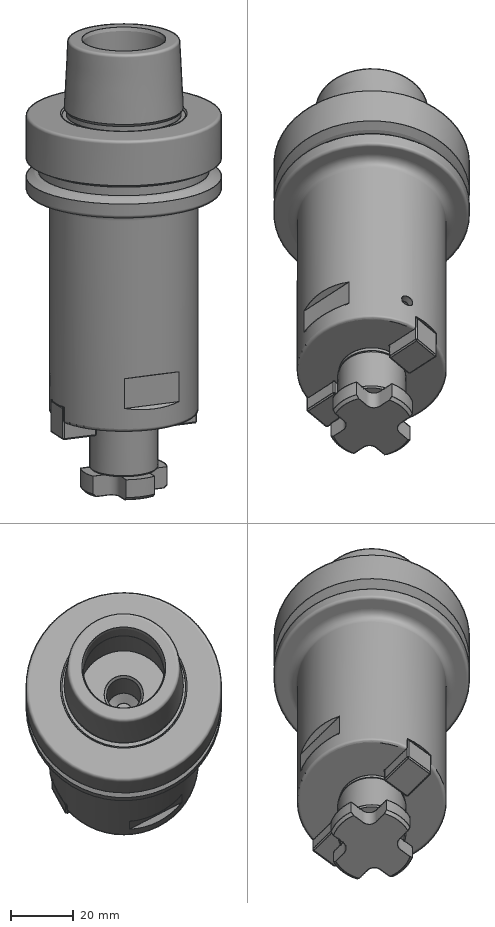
import cadquery as cq
import math


shank_height = 25.0
shank_top_radius = 18.1
shank_base_radius = 19.2
shank_top_fillet = 1.0
shank_taper_start = 2.0
relief_radius = 18.5
relief_outer_radius = 20.4
relief_depth = 0.5
relief_slope_height = 0.9

bore_radius = 13.1
bore_chamfer_width = 0.4
bore_chamfer_height = 1.3
bore_mouth_depth = 10.0
bore_recess_radius = 14.5
bore_floor_z = -10.0
centre_hole_radius = 5.5
centre_hole_chamfer = 0.8
centre_hole_depth = 20.0
centre_floor_radius = 2.6
drill_point_angle = 118.0

flange_radius = 31.5
flange_thickness = 26.0
flange_fillet = 1.0
groove_radius = 27.5
groove_top_z = -14.9
groove_bottom_z = -21.1
groove_slope_height = 1.35
groove_shelf_radius = 28.7
groove_shelf_height = 0.3

body_radius = 24.0
body_end_z = -100.0
body_fillet = 3.0
body_end_fillet = 1.0

pilot_radius = 11.0
pilot_end_z = -119.0
pilot_chamfer = 0.5
undercut_radius = 10.6
undercut_height = 1.3
undercut_slope = 1.0
head_radius = 14.0
head_end_z = -126.0
head_chamfer = 1.0
head_arm_width = 10.0
head_corner_radius = 3.0

flat_distance = 22.0
flat_width = 20.0
flat_centre_z = -87.05
flat_floor_height = 10.0
flat_end_angle = 20.0
flat_cutter_clearance = 1.0

side_hole_radius = 2.0
side_hole_z = -89.0
side_hole_angle = -20.0
side_hole_floor_distance = 21.6
side_dome_radius = 1.3

key_width = 10.0
key_inner_y = 11.7
key_outer_y = 23.7
key_top_z = -94.6
key_end_z = -105.6
key_chamfer = 0.45

opposite_sides = (0, 180)


def turn_about_z(shape, angle):
    return shape.rotate((0, 0, 0), (0, 0, 1), angle)


def turned_blank():
    """Outer shape of the holder, from shank to pilot end."""
    flange_bottom_z = -flange_thickness
    corner_share = 1 - math.sqrt(0.5)
    shank_offset = shank_top_fillet * corner_share
    body_offset = body_fillet * corner_share
    body_end_offset = body_end_fillet * corner_share
    profile = (
        cq.Workplane("XZ")
        .moveTo(0, shank_height)
        .lineTo(shank_top_radius - shank_top_fillet, shank_height)
        .threePointArc(
            (shank_top_radius - shank_offset, shank_height - shank_offset),
            (shank_top_radius, shank_height - shank_top_fillet),
        )
        .lineTo(shank_base_radius, shank_taper_start)
        .lineTo(relief_radius, shank_taper_start - relief_slope_height)
        .lineTo(relief_radius, -relief_depth)
        .lineTo(relief_outer_radius - relief_depth, -relief_depth)
        .lineTo(relief_outer_radius, 0)
        .lineTo(flange_radius, 0)
        .lineTo(flange_radius, flange_bottom_z)
        .lineTo(body_radius + body_fillet, flange_bottom_z)
        .threePointArc(
            (body_radius + body_offset, flange_bottom_z - body_offset),
            (body_radius, flange_bottom_z - body_fillet),
        )
        .lineTo(body_radius, body_end_z + body_end_fillet)
        .threePointArc(
            (body_radius - body_end_offset, body_end_z + body_end_offset),
            (body_radius - body_end_fillet, body_end_z),
        )
        .lineTo(undercut_radius, body_end_z)
        .lineTo(undercut_radius, body_end_z - undercut_height)
        .lineTo(pilot_radius, body_end_z - undercut_height - undercut_slope)
        .lineTo(pilot_radius, pilot_end_z + pilot_chamfer)
        .lineTo(pilot_radius - pilot_chamfer, pilot_end_z)
        .lineTo(0, pilot_end_z)
        .close()
    )
    blank = profile.revolve(360, (0, 0, 0), (0, 1, 0))
    flange_rims = blank.edges(cq.selectors.RadiusNthSelector(-1))
    return flange_rims.fillet(flange_fillet)


def gripper_groove():
    """Ring whose sides slope to a shallow shelf before reaching the floor."""
    upper_shelf_z = groove_top_z - groove_slope_height
    lower_shelf_z = groove_bottom_z + groove_slope_height
    profile = (
        cq.Workplane("XZ")
        .moveTo(flange_radius, groove_top_z)
        .lineTo(groove_shelf_radius, upper_shelf_z)
        .lineTo(groove_radius, upper_shelf_z - groove_shelf_height)
        .lineTo(groove_radius, lower_shelf_z + groove_shelf_height)
        .lineTo(groove_shelf_radius, lower_shelf_z)
        .lineTo(flange_radius, groove_bottom_z)
        .close()
    )
    return profile.revolve(360, (0, 0, 0), (0, 1, 0))


def shank_bore():
    """Recessed shank bore with a drilled centre hole in its floor."""
    mouth_end_z = shank_height - bore_mouth_depth
    hole_end_z = bore_floor_z - centre_hole_depth
    half_point_angle = math.radians(drill_point_angle / 2)
    cone_height = (centre_hole_radius - centre_floor_radius) / math.tan(half_point_angle)
    profile = (
        cq.Workplane("XZ")
        .moveTo(0, shank_height)
        .lineTo(bore_radius + bore_chamfer_width, shank_height)
        .lineTo(bore_radius, shank_height - bore_chamfer_height)
        .lineTo(bore_radius, mouth_end_z)
        .lineTo(bore_recess_radius, mouth_end_z)
        .lineTo(bore_recess_radius, bore_floor_z)
        .lineTo(centre_hole_radius + centre_hole_chamfer, bore_floor_z)
        .lineTo(centre_hole_radius, bore_floor_z - centre_hole_chamfer)
        .lineTo(centre_hole_radius, hole_end_z)
        .lineTo(centre_floor_radius, hole_end_z - cone_height)
        .lineTo(0, hole_end_z - cone_height)
        .close()
    )
    return profile.revolve(360, (0, 0, 0), (0, 1, 0))


def cross_head():
    """Chamfered disc with its four quadrants cut away to leave a cross."""
    head_height = pilot_end_z - head_end_z
    head = (
        cq.Workplane("XY", origin=(0, 0, head_end_z))
        .circle(head_radius)
        .extrude(head_height)
        .faces("<Z")
        .edges()
        .chamfer(head_chamfer)
    )
    corner_centre = (head_arm_width + head_radius) / 2
    corner = (
        cq.Workplane("XY", origin=(0, 0, head_end_z))
        .center(corner_centre, corner_centre)
        .rect(head_radius, head_radius)
        .extrude(head_height)
        .edges("|Z")
        .edges("<X and <Y")
        .fillet(head_corner_radius)
    )
    for quadrant in range(4):
        head = head.cut(turn_about_z(corner, 90 * quadrant))
    return head


def wrench_flat_cutter():
    """Cutter for the +X flat, with end walls that splay outward."""
    depth = body_radius - flat_distance + flat_cutter_clearance
    half_floor = flat_floor_height / 2
    half_mouth = half_floor + depth * math.tan(math.radians(flat_end_angle))
    return (
        cq.Workplane("XZ", origin=(flat_distance, 0, flat_centre_z))
        .moveTo(0, -half_floor)
        .lineTo(depth, -half_mouth)
        .lineTo(depth, half_mouth)
        .lineTo(0, half_floor)
        .close()
        .extrude(flat_width / 2, both=True)
    )


def side_hole_cutter():
    """Blind radial hole whose floor carries a raised dome."""
    floor = cq.Workplane("XZ", origin=(0, -side_hole_floor_distance, side_hole_z))
    hole = floor.circle(side_hole_radius).extrude(body_radius - side_hole_floor_distance)
    dome = floor.sphere(side_dome_radius)
    return turn_about_z(hole.cut(dome), side_hole_angle)


def key_seat_cutter():
    """Seat of the -Y drive key, open to the outside of the body and below."""
    return (
        cq.Workplane("XY", origin=(0, -(body_radius + key_inner_y) / 2, body_end_z))
        .rect(key_width, body_radius - key_inner_y)
        .extrude(key_top_z - body_end_z)
    )


def make_holder():
    holder = turned_blank().union(cross_head())
    for cutter in (gripper_groove(), shank_bore(), side_hole_cutter()):
        holder = holder.cut(cutter)
    for angle in opposite_sides:
        holder = holder.cut(turn_about_z(wrench_flat_cutter(), angle))
        holder = holder.cut(turn_about_z(key_seat_cutter(), angle))
    return holder


def make_drive_key(angle):
    """Chamfered block, made on the -Y side and turned into place."""
    key = (
        cq.Workplane("XY", origin=(0, -(key_outer_y + key_inner_y) / 2, key_end_z))
        .rect(key_width, key_outer_y - key_inner_y)
        .extrude(key_top_z - key_end_z)
        .edges()
        .chamfer(key_chamfer)
    )
    return turn_about_z(key, angle)


holder = make_holder()
drive_keys = [make_drive_key(angle) for angle in opposite_sides]

result = cq.Compound.makeCompound([holder.val(), *[key.val() for key in drive_keys]])